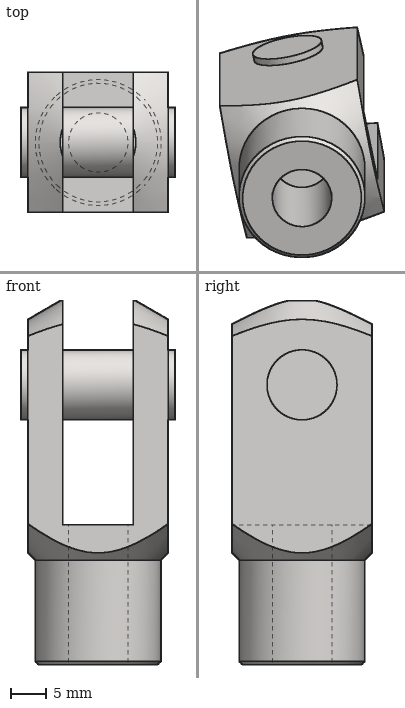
import cadquery as cq
import math

total_height = 52.0
body_width = 20.0
shank_diameter = 18.0
shank_length = 15.0
shank_chamfer = 0.5

slot_width = body_width / 2
slot_floor = 20.0
bore_diameter = 8.5

pin_diameter = body_width / 2
pin_length = 22.0
pin_height = 40.0

top_flat_radius = 5.4
top_cone_angle = math.radians(30)
shoulder_angle = math.radians(45)
turning_radius = body_width


def turned_envelope():
    """Revolved profile giving the shank, the shoulder cone and the top cone."""
    shank_radius = shank_diameter / 2
    shoulder_rise = (turning_radius - shank_radius) * math.tan(shoulder_angle)
    top_drop = (turning_radius - top_flat_radius) * math.tan(top_cone_angle)
    return (
        cq.Workplane("XZ")
        .polyline([
            (0, 0),
            (shank_radius - shank_chamfer, 0),
            (shank_radius, shank_chamfer),
            (shank_radius, shank_length),
            (turning_radius, shank_length + shoulder_rise),
            (turning_radius, total_height - top_drop),
            (top_flat_radius, total_height),
            (0, total_height),
        ])
        .close()
        .revolve(360, (0, 0, 0), (0, 1, 0))
    )


def vertical_box(size_x, size_y, bottom, top):
    """Box centred on the Z axis between two heights."""
    return cq.Workplane("XY").workplane(offset=bottom).rect(size_x, size_y).extrude(top - bottom)


def cross_pin():
    """Plain pin along X, protruding from both fork arms."""
    return (
        cq.Workplane("YZ")
        .center(0, pin_height)
        .circle(pin_diameter / 2)
        .extrude(pin_length / 2, both=True)
    )


square_bar = vertical_box(body_width, body_width, 0, total_height)
slot = vertical_box(slot_width, body_width, slot_floor, total_height)
bore = cq.Workplane("XY").circle(bore_diameter / 2).extrude(slot_floor)

fork = square_bar.intersect(turned_envelope()).cut(slot).cut(bore)
result = fork.union(cross_pin())